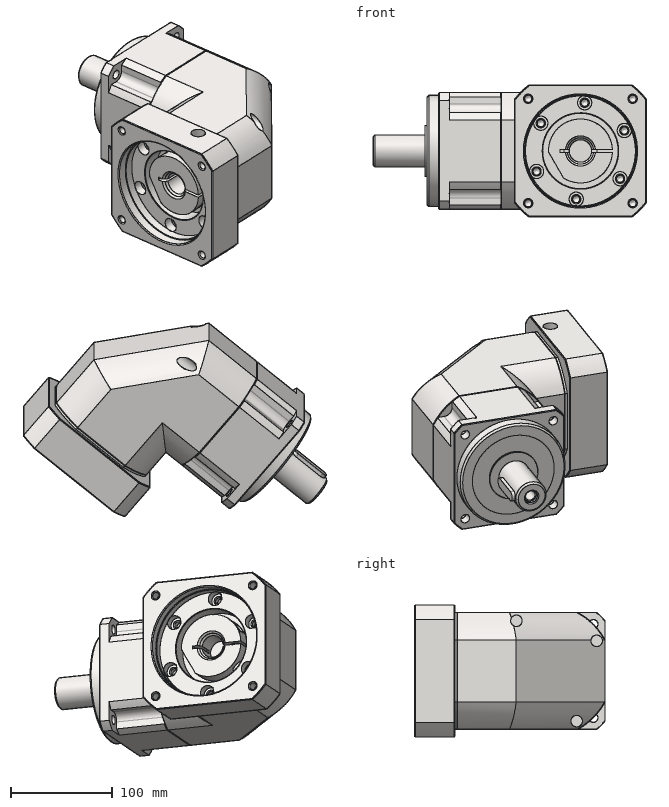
import cadquery as cq
import math


body_half = 57.5
body_corner_radius = 65.0
flat_half = math.sqrt(body_corner_radius**2 - body_half**2)
joint_chamfer = 0.5

boss_x = 51.0
pilot_x = 53.0
flange_x = 64.5
flange_back_x = 75.0
joint_x = 126.0

shaft_radius = 16.0
shaft_chamfer = 2.0
boss_radius = 25.15
cover_radius = 42.8
cover_thickness = 5.5
key_start_x = 4.3
key_end_x = 45.2
key_width = 10.0
key_top_y = 18.8
centre_mouth_radius = 7.5
centre_bore_radius = 6.5
centre_bore_depth = 4.0
centre_thread_radius = 5.0
centre_thread_depth = 21.5

pilot_radius = 55.0
pilot_chamfer = 2.0
flange_corner_radius = 75.9
flange_chamfer = 0.8
mount_hole_offset = body_corner_radius / math.sqrt(2)
mount_hole_radius = 4.45
channel_radius = 8.3

adapter_half = 64.96
adapter_corner_radius = 82.45
adapter_chamfer = 0.8
motor_x = 269 - adapter_half
motor_face_y = -2 * adapter_half
adapter_back_y = -90.0
spigot_y = -88.0
motor_bore_radius = 55.1
motor_bore_chamfer = 1.0
motor_bore_depth = 10.0
pocket_radius = 54.0
pocket_floor_y = motor_face_y + 18.5
well_radius = 37.0
well_chamfer = 0.5
well_floor_y = -92.8
motor_thread_offset = 51.5
motor_thread_radius = 3.5
motor_thread_mouth_radius = 4.5
motor_thread_depth = 13.5
screw_count = 6
screw_circle_radius = 47.5
screw_first_angle = 25
screw_head_radius = 7.0
screw_head_depth = 9.5
screw_hole_radius = 3.5
screw_mouth_radius = 4.5
screw_hole_depth = 6.7

hub_face_y = pocket_floor_y
hub_radius = 31.5
hub_flat_angle = 210
hub_flat_distance = 27.7
hub_bore_radius = 11.0
hub_mouth_radius = 14.8
hub_step_radius = 13.0
hub_step_depth = 2.2
hub_neck_radius = 16.5
hub_neck_end_y = -80.7
hub_bore_end_y = -84.7
hub_slit_width = 2.7
hub_slit_end = 20.0
hub_slit_end_y = -88.8
clamp_screw_offset = 22.9
clamp_screw_y = -101.5
clamp_seat_z = 13.5
clamp_hole_radius = 4.5
clamp_thread_radius = 3.5

slope_start_x = 187.5
slope_end_y = -29.9
slope_corner_depth = 25.0
access_hole_radius = 5.6
access_circle_radius = 57.5
access_angles = (-59, 31, 121)
access_floor_x = 166.8


def plane_x(x):
    """Plane across the output axis: local x is +Y, local y is +Z, extrusions run toward +X."""
    return cq.Workplane(cq.Plane(origin=(x, 0, 0), xDir=(0, 1, 0), normal=(1, 0, 0)))


def plane_motor(y, x_offset=0, z=0):
    """Plane across the motor axis: local x is -X, local y is +Z, extrusions run toward +Y."""
    origin = (motor_x + x_offset, y, z)
    return cq.Workplane(cq.Plane(origin=origin, xDir=(-1, 0, 0), normal=(0, 1, 0)))


def rounded_square(plane, half, corner_radius, length):
    """Square prism whose corners lie on a cylinder about the prism axis."""
    square = plane.rect(2 * half, 2 * half).extrude(length)
    return square.intersect(plane.circle(corner_radius).extrude(length))


def cone(plane, start_radius, end_radius):
    """45 degree cone frustum that narrows along the plane normal."""
    return plane.circle(start_radius).extrude(start_radius - end_radius, taper=45)


def drilled_hole(plane, radius, depth):
    """Blind hole with a pointed drill end."""
    tip_half_angle = math.radians(59)
    points = [(0, 0), (radius, 0), (radius, depth), (0, depth + radius / math.tan(tip_half_angle))]
    local = plane.plane
    profile_plane = cq.Plane(origin=local.origin, xDir=local.xDir, normal=local.xDir.cross(local.zDir))
    return cq.Workplane(profile_plane).polyline(points).close().revolve(360, (0, 0), (0, 1))


def square_corners(offset):
    return [(sx * offset, sz * offset) for sx in (-1, 1) for sz in (-1, 1)]


def make_output_shaft():
    """Keyed shaft with its shoulder and the disc that sits flush in the housing."""
    shaft = plane_x(0).circle(shaft_radius).extrude(boss_x).faces("<X").chamfer(shaft_chamfer)
    shaft = shaft.union(plane_x(boss_x).circle(boss_radius).extrude(pilot_x - boss_x))
    shaft = shaft.union(plane_x(pilot_x).circle(cover_radius).extrude(cover_thickness))

    key_length = key_end_x - key_start_x
    key_plane = cq.Workplane(cq.Plane(
        origin=((key_start_x + key_end_x) / 2, 0, 0), xDir=(1, 0, 0), normal=(0, 1, 0)))
    shaft = shaft.union(key_plane.slot2D(key_length, key_width).extrude(key_top_y))

    shaft = shaft.cut(drilled_hole(plane_x(0), centre_thread_radius, centre_thread_depth))
    shaft = shaft.cut(plane_x(0).circle(centre_bore_radius).extrude(centre_bore_depth))
    return shaft.cut(cone(plane_x(0), centre_mouth_radius, centre_bore_radius))


def make_gear_housing():
    """Gear housing with its pilot, mounting flange and screw channels in the corners."""
    body_length = joint_x - flange_back_x
    housing = rounded_square(plane_x(flange_back_x), body_half, body_corner_radius, body_length)
    housing = housing.faces(">X").chamfer(joint_chamfer)

    channel_wall = mount_hole_offset - channel_radius
    channel_size = 2 * (body_half - channel_wall)
    channel_centre = channel_wall + channel_size / 2
    channels = plane_x(flange_back_x).pushPoints(square_corners(channel_centre))
    channels = channels.rect(channel_size, channel_size).extrude(body_length)
    housing = housing.cut(channels.edges("|X").fillet(channel_radius))

    flange = rounded_square(
        plane_x(flange_x), body_half, flange_corner_radius, flange_back_x - flange_x)
    housing = housing.union(flange.faces("<X").chamfer(flange_chamfer))
    pilot = plane_x(pilot_x).circle(pilot_radius).extrude(flange_x - pilot_x)
    housing = housing.union(pilot.faces("<X").chamfer(pilot_chamfer))

    holes = plane_x(flange_x).pushPoints(square_corners(mount_hole_offset))
    housing = housing.cut(holes.circle(mount_hole_radius).extrude(flange_back_x - flange_x))
    return housing.cut(plane_x(pilot_x).circle(cover_radius).extrude(cover_thickness))


def make_slope_prism():
    """Everything on the inner side of the sloping back wall, with its rounded long edges."""
    run_x = motor_x + body_half - slope_start_x
    run_y = slope_end_y - body_half
    run = math.hypot(run_x, run_y)
    start = cq.Vector(slope_start_x, body_half, 0)
    along = cq.Vector(run_x / run, run_y / run, 0)
    outward = cq.Vector(-along.y, along.x, 0)

    squeeze = slope_corner_depth / (body_half - flat_half)
    mid_arc = body_corner_radius / math.sqrt(2)
    mid_depth = squeeze * (body_half - mid_arc)
    inner = -3 * body_half
    section = (
        cq.Workplane(cq.Plane(origin=start - along * run, xDir=outward, normal=along))
        .moveTo(inner, -body_half)
        .lineTo(-slope_corner_depth, -body_half)
        .threePointArc((-mid_depth, -mid_arc), (0, -flat_half))
        .lineTo(0, flat_half)
        .threePointArc((-mid_depth, mid_arc), (-slope_corner_depth, body_half))
        .lineTo(inner, body_half)
        .close()
    )
    return section.extrude(3 * run)


def make_elbow():
    """Elbow of two square legs, cut off at the back by a sloping wall."""
    output_leg = rounded_square(
        plane_x(joint_x), body_half, body_corner_radius, motor_x + flat_half - joint_x)
    output_leg = output_leg.faces("<X").chamfer(joint_chamfer)
    motor_leg = rounded_square(
        plane_motor(spigot_y), body_half, body_corner_radius, flat_half - spigot_y)
    motor_leg = motor_leg.faces("<Y").chamfer(joint_chamfer)
    elbow = output_leg.union(motor_leg).intersect(make_slope_prism())

    for angle in access_angles:
        y = access_circle_radius * math.cos(math.radians(angle))
        z = access_circle_radius * math.sin(math.radians(angle))
        hole = plane_x(access_floor_x).center(y, z).circle(access_hole_radius)
        elbow = elbow.cut(hole.extrude(2 * body_half))

    neck_recess = plane_motor(spigot_y).circle(hub_neck_radius).extrude(hub_neck_end_y - spigot_y)
    return elbow.cut(neck_recess)


def clamp_access(radius, bottom_z, top_z):
    """Vertical hole on the axis of the clamping screw."""
    plane = cq.Workplane(origin=(motor_x + clamp_screw_offset, clamp_screw_y, bottom_z))
    return plane.circle(radius).extrude(top_z - bottom_z)


def make_motor_adapter():
    """Square adapter with the motor bore, the hub well and the screw holes."""
    plate = rounded_square(
        plane_motor(motor_face_y), adapter_half, adapter_corner_radius, adapter_back_y - motor_face_y)
    plate = plate.faces("<Y or >Y").chamfer(adapter_chamfer)
    spigot = rounded_square(
        plane_motor(adapter_back_y), body_half, body_corner_radius, spigot_y - adapter_back_y)
    adapter = plate.union(spigot)

    face = plane_motor(motor_face_y)
    adapter = adapter.cut(face.circle(pocket_radius).extrude(pocket_floor_y - motor_face_y))
    adapter = adapter.cut(face.circle(motor_bore_radius).extrude(motor_bore_depth))
    adapter = adapter.cut(cone(face, motor_bore_radius + motor_bore_chamfer, motor_bore_radius))
    adapter = adapter.cut(face.circle(well_radius).extrude(well_floor_y - motor_face_y))
    well_mouth = plane_motor(pocket_floor_y)
    adapter = adapter.cut(cone(well_mouth, well_radius + well_chamfer, well_radius))
    adapter = adapter.cut(face.circle(hub_neck_radius).extrude(spigot_y - motor_face_y))

    for x, z in square_corners(motor_thread_offset):
        corner = plane_motor(motor_face_y, x, z)
        adapter = adapter.cut(drilled_hole(corner, motor_thread_radius, motor_thread_depth))
        adapter = adapter.cut(cone(corner, motor_thread_mouth_radius, motor_thread_radius))

    for index in range(screw_count):
        angle = math.radians(screw_first_angle + index * 360 / screw_count)
        x = screw_circle_radius * math.cos(angle)
        z = screw_circle_radius * math.sin(angle)
        head_plane = plane_motor(pocket_floor_y, x, z)
        adapter = adapter.cut(head_plane.circle(screw_head_radius).extrude(screw_head_depth))
        seat_plane = plane_motor(pocket_floor_y + screw_head_depth, x, z)
        adapter = adapter.cut(drilled_hole(seat_plane, screw_hole_radius, screw_hole_depth))
        adapter = adapter.cut(cone(seat_plane, screw_mouth_radius, screw_hole_radius))
    return adapter.cut(clamp_access(screw_head_radius, 0, adapter_half))


def make_input_hub():
    """Split clamping hub with a flat on its rim and a neck that reaches into the elbow."""
    face = plane_motor(hub_face_y)
    collar_length = well_floor_y - hub_face_y
    collar = face.circle(hub_radius).extrude(collar_length)
    flat_block = (
        face.center(-hub_radius - hub_flat_distance, 0)
        .rect(2 * hub_radius, 2 * hub_radius)
        .extrude(collar_length)
        .rotate((motor_x, 0, 0), (motor_x, 1, 0), -hub_flat_angle)
    )
    hub = collar.cut(flat_block)
    hub = hub.union(face.circle(hub_neck_radius).extrude(hub_neck_end_y - hub_face_y))
    hub = hub.cut(face.circle(hub_bore_radius).extrude(hub_bore_end_y - hub_face_y))
    hub = hub.cut(cone(face, hub_mouth_radius, hub_step_radius))
    hub = hub.cut(face.circle(hub_step_radius).extrude(hub_step_depth))
    hub = hub.cut(cone(plane_motor(hub_face_y + hub_step_depth), hub_step_radius, hub_bore_radius))

    slit_length = hub_slit_end + hub_radius
    slit = face.center(hub_slit_end - slit_length / 2, 0).rect(slit_length, hub_slit_width)
    hub = hub.cut(slit.extrude(hub_slit_end_y - hub_face_y))

    hub = hub.cut(clamp_access(screw_head_radius, clamp_seat_z, hub_radius))
    hub = hub.cut(clamp_access(clamp_hole_radius, 0, hub_radius))
    return hub.cut(clamp_access(clamp_thread_radius, -hub_radius, 0))


output_shaft = make_output_shaft()
gear_housing = make_gear_housing()
elbow_housing = make_elbow()
motor_adapter = make_motor_adapter()
input_hub = make_input_hub()

result = cq.Compound.makeCompound([
    output_shaft.solids().val(),
    gear_housing.solids().val(),
    elbow_housing.solids().val(),
    motor_adapter.solids().val(),
    input_hub.solids().val(),
])